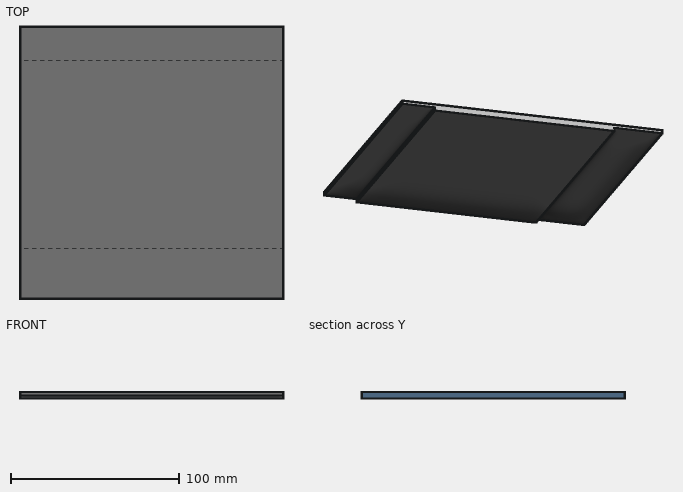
import cadquery as cq

width = 156.5
depth = 162.0
total_height = 4.0
plate_thickness = total_height / 2

pad_front_margin = 30.0
pad_back_margin = 20.2
pad_thickness = total_height - plate_thickness
pad_depth = depth - pad_front_margin - pad_back_margin

from_corner = (False, False, False)

plate = (
    cq.Workplane("XY", origin=(0, 0, pad_thickness))
    .box(width, depth, plate_thickness, centered=from_corner)
)

pad = (
    cq.Workplane("XY", origin=(0, pad_front_margin, 0))
    .box(width, pad_depth, pad_thickness, centered=from_corner)
)

result = plate.union(pad)